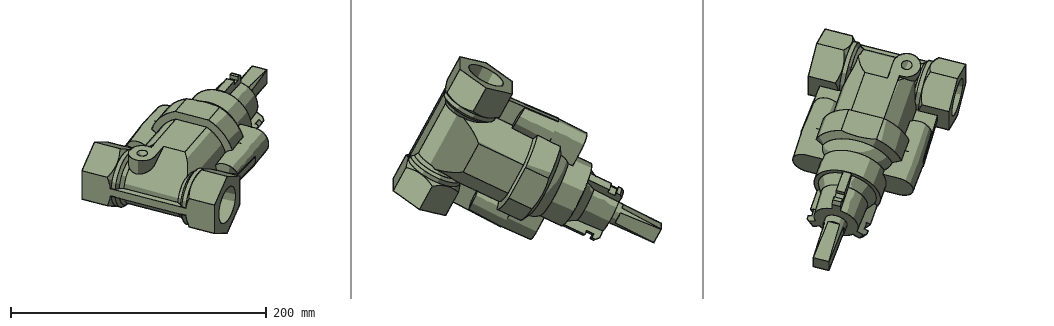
import cadquery as cq
import math


PIPE_LENGTH = 115.0
HEX_FLATS = 46.0
HEX_CORNER_RADIUS = HEX_FLATS / math.sqrt(3)
HEX_LENGTH = 25.2
HEX_CHAMFER_LENGTH = 3.0
PIPE_RADIUS = 18.5
PIPE_HALF_STRAIGHT = 23.3
FLARE_MIDDLE_X = 26.5
FLARE_MIDDLE_RADIUS = 20.3
COLLAR_X = 28.8
COLLAR_RADIUS = 22.7
BORE_DIAMETER = 25.0
SOCKET_DIAMETER = 30.2
SOCKET_DEPTH = 19.3

COLUMN_RADIUS = 30.9
COLUMN_HALF_DEPTH = 27.8
FOOT_SLOPE = 25.0

FLANGE_RADIUS = 37.0
FLANGE_HALF_DEPTH = 68.0 / 2
FLANGE_BOTTOM = 56.6
FLANGE_UNDERSIDE_DROP = 1.2
FLANGE_TOP = 77.0

DOME_BOTTOM = 80.5
DOME_BOTTOM_RADIUS = 30.9
DOME_MIDDLE = 84.9
DOME_MIDDLE_RADIUS = 29.8
BONNET_DIAMETER = 54.5
BONNET_BOTTOM = 89.1
BONNET_TOP = 108.5
NECK_CONE_BOTTOM_RADIUS = 23.8
NECK_CONE_TOP = 116.7
NECK_BOTTOM_RADIUS = 19.0
NECK_TOP_RADIUS = 18.0
NECK_TOP = 138.9

WING_COUNT = 3
WING_RADIUS = 26.4
WING_THICKNESS = 7.0
WING_CHAMFER = 2.6
WING_NOTCH_BOTTOM = 127.0
WING_NOTCH_TOP = 133.2
WING_NOTCH_DEPTH = 3.5

STEM_TOP = 203 - HEX_FLATS / 2
STEM_DIAMETER = 18.0
SQUARE_BOTTOM = 145.0
SQUARE_BOTTOM_WIDTH = 15.5
SQUARE_TOP_WIDTH = 13.0

LUG_X = 37.5
LUG_TOP = 93.0
LUG_PARTING = 67.4
LUG_BOTTOM = 37.0
LUG_END_RISE = 2.5
LUG_TOP_RADIUS = 11.8
LUG_PARTING_RADIUS = 12.4
LUG_BOTTOM_RADIUS = 11.0
WEB_THICKNESS = 7.0
WEB_BOTTOM_X = 48.1

BOSS_X = -16.0
BOSS_RADIUS = 11.0
BOSS_HOLE_DIAMETER = 8.3
BOSS_HOLE_DEPTH = 4.0


def box_between(low, high):
    """Box given by its lowest and highest corners."""
    size = [b - a for a, b in zip(low, high)]
    return cq.Workplane("XY").box(*size, centered=False).translate(low)


def pipe():
    """Round pipe flaring into a collar next to each hexagonal end."""
    half_length = PIPE_LENGTH / 2
    hex_inner = half_length - HEX_LENGTH
    half = (
        cq.Workplane("XY")
        .moveTo(0, 0)
        .lineTo(0, PIPE_RADIUS)
        .lineTo(PIPE_HALF_STRAIGHT, PIPE_RADIUS)
        .lineTo(FLARE_MIDDLE_X, FLARE_MIDDLE_RADIUS)
        .lineTo(COLLAR_X, COLLAR_RADIUS)
        .lineTo(hex_inner, COLLAR_RADIUS)
        .lineTo(hex_inner, 0)
        .close()
        .revolve(360, (0, 0, 0), (1, 0, 0))
    )
    hexagon = (
        cq.Workplane("YZ", origin=(hex_inner, 0, 0))
        .polygon(6, 2 * HEX_CORNER_RADIUS)
        .extrude(HEX_LENGTH)
        .rotate((0, 0, 0), (1, 0, 0), 90)
    )
    chamfer_limit = (
        cq.Workplane("XY")
        .moveTo(hex_inner, 0)
        .lineTo(hex_inner, COLLAR_RADIUS)
        .lineTo(hex_inner + HEX_CHAMFER_LENGTH, HEX_CORNER_RADIUS)
        .lineTo(half_length, HEX_CORNER_RADIUS)
        .lineTo(half_length, 0)
        .close()
        .revolve(360, (0, 0, 0), (1, 0, 0))
    )
    half = half.union(hexagon.intersect(chamfer_limit))
    return half.union(half.mirror("YZ"))


def bore():
    """Through bore widening by a 45 degree step into a socket at each end."""
    half_length = PIPE_LENGTH / 2
    step_x = half_length - SOCKET_DEPTH
    step = (SOCKET_DIAMETER - BORE_DIAMETER) / 2
    half = (
        cq.Workplane("XY")
        .moveTo(0, 0)
        .lineTo(0, BORE_DIAMETER / 2)
        .lineTo(step_x - step, BORE_DIAMETER / 2)
        .lineTo(step_x, SOCKET_DIAMETER / 2)
        .lineTo(half_length, SOCKET_DIAMETER / 2)
        .lineTo(half_length, 0)
        .close()
        .revolve(360, (0, 0, 0), (1, 0, 0))
    )
    return half.union(half.mirror("YZ"))


def column():
    """Round column with flats, its foot narrowing to touch the pipe tangentially.

    Also returns the Y level where the sloped foot meets the flats.
    """
    slope = math.radians(FOOT_SLOPE)
    foot_y = -PIPE_RADIUS * math.sin(slope)
    foot_z = PIPE_RADIUS * math.cos(slope)
    slope_top = foot_y + (COLUMN_HALF_DEPTH - foot_z) / math.tan(slope)
    side = (
        cq.Workplane("YZ")
        .polyline([
            (foot_y, -foot_z),
            (slope_top, -COLUMN_HALF_DEPTH),
            (FLANGE_BOTTOM, -COLUMN_HALF_DEPTH),
            (FLANGE_BOTTOM, COLUMN_HALF_DEPTH),
            (slope_top, COLUMN_HALF_DEPTH),
            (foot_y, foot_z),
        ])
        .close()
        .extrude(COLUMN_RADIUS, both=True)
    )
    round_bar = (
        cq.Workplane("XZ", origin=(0, FLANGE_BOTTOM, 0))
        .circle(COLUMN_RADIUS)
        .extrude(FLANGE_BOTTOM - foot_y)
    )
    return round_bar.intersect(side), slope_top


def bonnet():
    """Flange with two flats, dome, bonnet cylinder and neck."""
    bonnet_radius = BONNET_DIAMETER / 2
    turned = (
        cq.Workplane("XY")
        .moveTo(0, FLANGE_BOTTOM)
        .lineTo(FLANGE_RADIUS, FLANGE_BOTTOM)
        .lineTo(FLANGE_RADIUS, FLANGE_TOP)
        .lineTo(DOME_BOTTOM_RADIUS, DOME_BOTTOM)
        .threePointArc((DOME_MIDDLE_RADIUS, DOME_MIDDLE), (bonnet_radius, BONNET_BOTTOM))
        .lineTo(bonnet_radius, BONNET_TOP)
        .lineTo(NECK_CONE_BOTTOM_RADIUS, BONNET_TOP)
        .lineTo(NECK_BOTTOM_RADIUS, NECK_CONE_TOP)
        .lineTo(NECK_TOP_RADIUS, NECK_TOP)
        .lineTo(0, NECK_TOP)
        .close()
        .revolve(360, (0, 0, 0), (0, 1, 0))
    )
    between_flats = box_between(
        (-FLANGE_RADIUS, 0, -FLANGE_HALF_DEPTH),
        (FLANGE_RADIUS, NECK_TOP, FLANGE_HALF_DEPTH),
    )
    return turned.intersect(between_flats)


def flattened_circle(workplane, radius, half_depth):
    """Circle with its two Z sides cut straight, on a plane facing along Y."""
    half_flat = math.sqrt(radius**2 - half_depth**2)
    return (
        workplane.moveTo(-half_flat, half_depth)
        .lineTo(half_flat, half_depth)
        .threePointArc((radius, 0), (half_flat, -half_depth))
        .lineTo(-half_flat, -half_depth)
        .threePointArc((-radius, 0), (-half_flat, half_depth))
        .close()
    )


def flange_underside():
    """Shallow slope from the flange edge down to the column."""
    top = cq.Workplane("XZ", origin=(0, FLANGE_BOTTOM, 0))
    top = flattened_circle(top, FLANGE_RADIUS, FLANGE_HALF_DEPTH)
    bottom = top.workplane(offset=FLANGE_UNDERSIDE_DROP)
    return flattened_circle(bottom, COLUMN_RADIUS, COLUMN_HALF_DEPTH).loft(ruled=True)


def wings():
    """Notched plates standing out radially from the neck, the first toward +Z."""
    notch_radius = WING_RADIUS - WING_NOTCH_DEPTH
    wing = (
        cq.Workplane("YZ")
        .polyline([
            (BONNET_TOP, 0),
            (BONNET_TOP, WING_RADIUS),
            (WING_NOTCH_BOTTOM, WING_RADIUS),
            (WING_NOTCH_BOTTOM, notch_radius),
            (WING_NOTCH_TOP, notch_radius),
            (WING_NOTCH_TOP, WING_RADIUS),
            (NECK_TOP - WING_CHAMFER, WING_RADIUS),
            (NECK_TOP, WING_RADIUS - WING_CHAMFER),
            (NECK_TOP, 0),
        ])
        .close()
        .extrude(WING_THICKNESS / 2, both=True)
    )
    all_wings = wing
    for i in range(1, WING_COUNT):
        all_wings = all_wings.union(wing.rotate((0, 0, 0), (0, 1, 0), i * 360 / WING_COUNT))
    return all_wings


def stem():
    """Round stem whose end is trimmed to a square that narrows toward the tip."""
    rod = (
        cq.Workplane("XZ", origin=(0, NECK_TOP, 0))
        .circle(STEM_DIAMETER / 2)
        .extrude(NECK_TOP - STEM_TOP)
    )
    square = (
        cq.Workplane("XZ", origin=(0, SQUARE_BOTTOM, 0))
        .rect(SQUARE_BOTTOM_WIDTH, SQUARE_BOTTOM_WIDTH)
        .workplane(offset=SQUARE_BOTTOM - STEM_TOP)
        .rect(SQUARE_TOP_WIDTH, SQUARE_TOP_WIDTH)
        .loft(ruled=True)
    )
    shank = box_between(
        (-STEM_DIAMETER, NECK_TOP, -STEM_DIAMETER),
        (STEM_DIAMETER, SQUARE_BOTTOM, STEM_DIAMETER),
    )
    return rod.intersect(square.union(shank))


def lug():
    """Lug on the +X side: a rounded slab above the parting level, a cone below it."""
    def slab_outline(workplane, radius):
        return (
            workplane.moveTo(0, -radius)
            .lineTo(LUG_X, -radius)
            .threePointArc((LUG_X + radius, 0), (LUG_X, radius))
            .lineTo(0, radius)
            .close()
        )

    parting_plane = cq.Workplane("XZ", origin=(0, LUG_PARTING, 0))
    upper = slab_outline(parting_plane, LUG_PARTING_RADIUS)
    upper = upper.workplane(offset=LUG_PARTING - LUG_TOP)
    upper = slab_outline(upper, LUG_TOP_RADIUS).loft(ruled=True)

    lower = (
        parting_plane.center(LUG_X, 0)
        .circle(LUG_PARTING_RADIUS)
        .workplane(offset=LUG_PARTING - LUG_BOTTOM)
        .circle(LUG_BOTTOM_RADIUS)
        .loft(ruled=True)
    )
    outer_x = LUG_X + LUG_PARTING_RADIUS
    end_arc_radius = (LUG_PARTING_RADIUS**2 + LUG_END_RISE**2) / (2 * LUG_END_RISE)
    end_trim = (
        cq.Workplane("XY")
        .moveTo(LUG_X, LUG_BOTTOM)
        .radiusArc((outer_x, LUG_BOTTOM + LUG_END_RISE), -end_arc_radius)
        .lineTo(outer_x, LUG_BOTTOM)
        .close()
        .extrude(LUG_PARTING_RADIUS, both=True)
    )
    return upper.union(lower.cut(end_trim))


def web():
    """Thin plate in the parting plane, under the lugs and around the pipe."""
    pipe_web_x = PIPE_LENGTH / 2 - HEX_LENGTH + HEX_CHAMFER_LENGTH
    hex_half_width = HEX_FLATS / 2
    return (
        cq.Workplane("XY")
        .polyline([
            (-pipe_web_x, -hex_half_width),
            (pipe_web_x, -hex_half_width),
            (pipe_web_x, 0),
            (WEB_BOTTOM_X, 0),
            (WEB_BOTTOM_X, hex_half_width),
            (LUG_X + LUG_PARTING_RADIUS, LUG_PARTING),
            (-LUG_X - LUG_PARTING_RADIUS, LUG_PARTING),
            (-WEB_BOTTOM_X, hex_half_width),
            (-WEB_BOTTOM_X, 0),
            (-pipe_web_x, 0),
        ])
        .close()
        .extrude(WEB_THICKNESS / 2, both=True)
    )


def boss(slope_top):
    """Round boss flush with the column flat and joined to it by a straight side."""
    flat_half_width = math.sqrt(COLUMN_RADIUS**2 - COLUMN_HALF_DEPTH**2)
    right_x = BOSS_X + BOSS_RADIUS
    body = cq.Workplane("XY").center(BOSS_X, 0).circle(BOSS_RADIUS).extrude(COLUMN_HALF_DEPTH)
    corner = box_between((BOSS_X, 0, 0), (right_x, BOSS_RADIUS, COLUMN_HALF_DEPTH))
    bridge = box_between((-flat_half_width, 0, 0), (right_x, slope_top, COLUMN_HALF_DEPTH))
    return body.union(corner).union(bridge)


def boss_hole():
    """Conical dimple in the top of the boss."""
    return cq.Workplane(
        cq.Solid.makeCone(
            BOSS_HOLE_DIAMETER / 2, 0, BOSS_HOLE_DEPTH,
            cq.Vector(BOSS_X, 0, COLUMN_HALF_DEPTH), cq.Vector(0, 0, -1),
        )
    )


column_body, column_slope_top = column()
side_lug = lug()

result = (
    pipe()
    .union(column_body)
    .union(flange_underside())
    .union(bonnet())
    .union(wings())
    .union(stem())
    .union(side_lug)
    .union(side_lug.mirror("YZ"))
    .union(web())
    .union(boss(column_slope_top))
    .cut(bore())
    .cut(boss_hole())
)